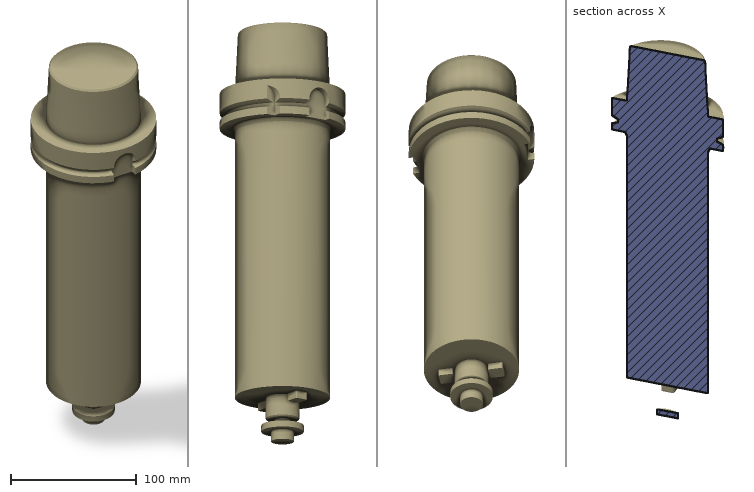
import cadquery as cq

total_height = 336.0
taper_length = 50.0
flange_width = 29.0
flange_top = total_height - taper_length
flange_bottom = flange_top - flange_width
body_bottom = 36.0
pilot_bottom = 17.8
screw_head_top = 13.0
screw_head_bottom = 8.0

taper_base_radius = 38.0
taper_top_radius = 35.5
taper_chamfer = 1.5

flange_radius = 50.0
groove_radius = 45.5
groove_upper_edge = 269.8
groove_floor_top = 267.5
groove_floor_bottom = 264.8
groove_lower_edge = 263.0

body_radius = 38.0
collar_radius = 39.3
collar_height = 3.0

pilot_radius = 13.5
relief_radius = 26.5 / 2
relief_height = 1.7
pilot_chamfer = 1.0
neck_radius = 6.0
screw_head_radius = 34.0 / 2
tip_radius = 9.0

key_outer = 26.0
key_inner = 14.0
key_width = 10.8
key_height = 6.0
key_chamfer = 0.7

slot_width = 19.5
slot_top_margin = 5.0
slot_top = flange_top - slot_top_margin
slot_floor = 44.0
corner_slot_floor = 31.5


def revolved_body():
    """Everything that is round about Z, as one half outline of (radius, height) points."""
    outline = [
        (0, 0),
        (tip_radius, 0),
        (tip_radius, screw_head_bottom),
        (screw_head_radius, screw_head_bottom),
        (screw_head_radius, screw_head_top),
        (neck_radius, screw_head_top),
        (neck_radius, pilot_bottom),
        (pilot_radius - pilot_chamfer, pilot_bottom),
        (pilot_radius, pilot_bottom + pilot_chamfer),
        (pilot_radius, body_bottom - relief_height),
        (relief_radius, body_bottom - relief_height),
        (relief_radius, body_bottom),
        (body_radius, body_bottom),
        (body_radius, flange_bottom - collar_height),
        (collar_radius, flange_bottom),
        (flange_radius, flange_bottom),
        (flange_radius, groove_lower_edge),
        (groove_radius, groove_floor_bottom),
        (groove_radius, groove_floor_top),
        (flange_radius, groove_upper_edge),
        (flange_radius, flange_top),
        (taper_base_radius, flange_top),
        (taper_top_radius, total_height - taper_chamfer),
        (taper_top_radius - taper_chamfer, total_height),
        (0, total_height),
    ]
    return cq.Workplane("XZ").polyline(outline).close().revolve(360, (0, 0), (0, 1))


def driving_key(side):
    """Block with chamfered upright edges on the lower face; side is -1 or +1 along X."""
    length = key_outer - key_inner
    return (
        cq.Workplane("XY", origin=(side * (key_outer + key_inner) / 2, 0, body_bottom))
        .rect(length, key_width)
        .extrude(-key_height)
        .edges("|Z")
        .chamfer(key_chamfer)
    )


def arched_slot(side, floor, center_y):
    """Round-topped cutter, open below the flange, from its floor outwards along X."""
    half_width = slot_width / 2
    arch_center = slot_top - half_width
    return (
        cq.Workplane("YZ", origin=(side * floor, 0, 0))
        .moveTo(center_y - half_width, flange_bottom)
        .lineTo(center_y - half_width, arch_center)
        .threePointArc((center_y, slot_top), (center_y + half_width, arch_center))
        .lineTo(center_y + half_width, flange_bottom)
        .close()
        .extrude(side * flange_radius)
    )


result = revolved_body()
for direction in (-1, 1):
    result = result.union(driving_key(direction))
    result = result.cut(arched_slot(direction, slot_floor, 0))

result = result.cut(arched_slot(-1, corner_slot_floor, corner_slot_floor + slot_width / 2))